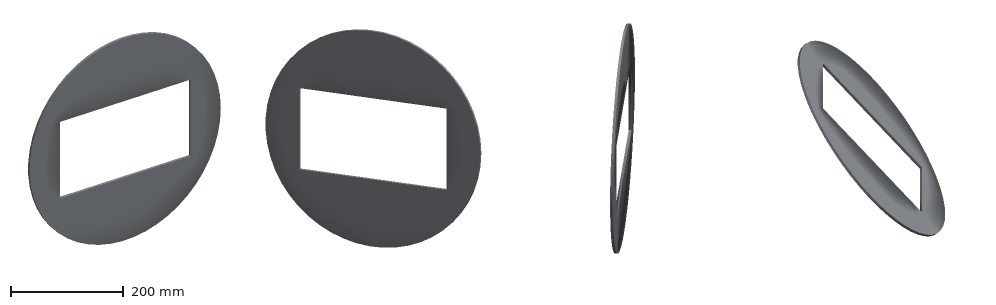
import cadquery as cq

disc_diameter = 410.0
thickness = 5.0
turn_angle = 9.0

window_width = 280.0
window_height = 154.5

back_face = cq.Workplane("YZ", origin=(-thickness / 2, 0, 0))
disc = back_face.circle(disc_diameter / 2).extrude(thickness)
window = back_face.rect(window_width, window_height).extrude(thickness)

result = disc.cut(window).rotate((0, 0, 0), (0, 0, 1), turn_angle)